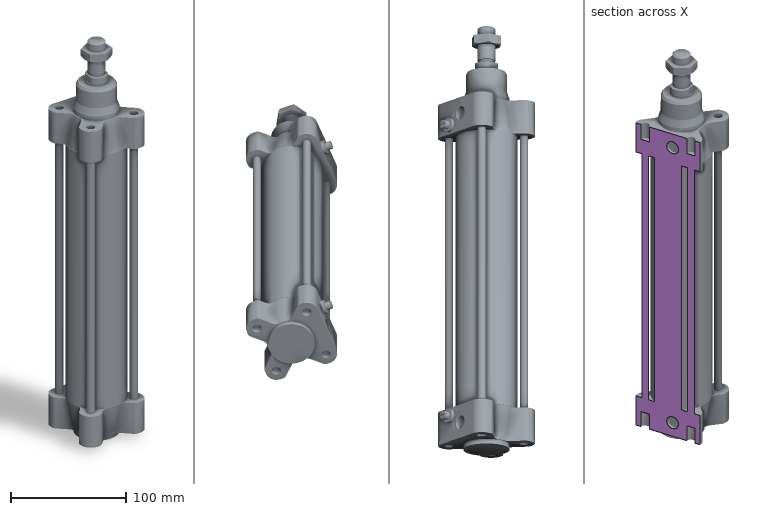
import cadquery as cq
import math


total_height = 379.0
boss_height = 4.0
cap_height = 30.0
head_inner_z = 280.5
base_inner_z = boss_height + cap_height
head_outer_z = head_inner_z + cap_height

cap_width = 65.0
half_width = cap_width / 2
tie_rod_offset = 23.0
corner_radius = half_width - tie_rod_offset
lobe_edge_radius = 4.5
notch_root_radius = 6.0
notch_apex = 14.0
hub_outer_radius = 21.2
hub_inner_radius = 26.5
mount_hole_diameter = 8.0
mount_hole_depth = 15.0

barrel_diameter = 54.0
tie_rod_diameter = 7.2
boss_diameter = 40.0

port_y = -4.5
port_height = 16.0
port_diameter = 11.5
port_mouth_diameter = 12.0
port_mouth_chamfer = (port_mouth_diameter - port_diameter) / 2
port_depth = 11.5
port_seat_diameter = 19.5
port_seat_depth = 0.5
screw_y = 9.5
screw_height = 7.5
screw_flange_diameter = 12.0
screw_flange_length = 3.0
screw_diameter = 7.2
screw_reach = 8.5
screw_slot_width = 0.8
screw_slot_depth = 1.0

collar_flange_top_z = 314.5
collar_cone_top_z = 321.5
collar_top_z = 339.0
collar_diameter = 35.5
collar_chamfer_height = 2.3
collar_chamfer_width = 1.5

rod_diameter = 20.0
flats_width = 18.0
flats_bottom_z = 340.5
rod_shoulder_z = 346.5
undercut_diameter = 14.5
thread_bottom_z = 349.5
thread_diameter = 16.0
thread_chamfer = 1.5

nut_width = 24.0
nut_bottom_z = 362.7
nut_height = 8.0
nut_chamfer_height = 1.0
nut_corner_diameter = nut_width / math.cos(math.radians(30))

tie_rod_points = [(x, y) for x in (-tie_rod_offset, tie_rod_offset) for y in (-tie_rod_offset, tie_rod_offset)]


def cylinder(diameter, bottom_z, top_z):
    """Solid cylinder on the Z axis."""
    return cq.Workplane("XY", origin=(0, 0, bottom_z)).circle(diameter / 2).extrude(top_z - bottom_z)


def revolve_profile(points):
    """Solid of revolution about Z from (radius, z) points."""
    return cq.Workplane("XZ").polyline(points).close().revolve(360, (0, 0, 0), (0, 1, 0))


def side_cylinder(diameter, y, z, start_x, length):
    """Cylinder along X that starts at start_x and runs toward +X."""
    return cq.Workplane("YZ", origin=(start_x, y, z)).circle(diameter / 2).extrude(length)


def make_notch(angle):
    """90-degree V notch that opens outward in the direction given by angle."""
    reach = cap_width
    profile = [(notch_apex, 0), (reach, reach - notch_apex), (reach, notch_apex - reach)]
    notch = cq.Workplane("XY").polyline(profile).close().extrude(cap_height)
    return notch.rotate((0, 0, 0), (0, 0, 1), angle)


def make_cap_block():
    """Cap body with four rounded lobes; inner face at z = 0, outer face at z = cap_height."""
    block = cq.Workplane("XY").rect(cap_width, cap_width).extrude(cap_height)
    block = block.edges("|Z").fillet(corner_radius)
    for angle in (-90, 0, 90):
        block = block.cut(make_notch(angle))

    notch_half_mouth = half_width - notch_apex
    mouth_radius = math.hypot(half_width, notch_half_mouth)

    def is_lobe_edge(edge):
        middle = edge.positionAt(0.5)
        return math.isclose(math.hypot(middle.x, middle.y), mouth_radius)

    return block.edges("|Z").filter(is_lobe_edge).fillet(lobe_edge_radius)


def add_hub(block):
    """Add the conical hub whose surface forms the notch floors, and round the notch roots."""
    hub = revolve_profile([(0, 0), (hub_inner_radius, 0), (hub_outer_radius, cap_height), (0, cap_height)])

    def is_notch_root(edge):
        middle = edge.positionAt(0.5)
        spans_height = edge.BoundingBox().zlen > cap_height / 2
        return spans_height and math.hypot(middle.x, middle.y) < hub_inner_radius

    return block.union(hub).edges().filter(is_notch_root).fillet(notch_root_radius)


def add_port(cap):
    """Cut the air port and its shallow round seat."""
    seat_x = -half_width + port_seat_depth
    port = side_cylinder(port_diameter, port_y, port_height, seat_x, port_depth)
    mouth = (
        cq.Workplane("YZ", origin=(seat_x, port_y, port_height))
        .circle(port_mouth_diameter / 2)
        .workplane(offset=port_mouth_chamfer)
        .circle(port_diameter / 2)
        .loft()
    )
    seat = side_cylinder(port_seat_diameter, port_y, port_height, -half_width, port_seat_depth)
    return cap.cut(port).cut(mouth).cut(seat)


def add_cushion_screw(cap):
    """Add the slotted cushion screw and its flange."""
    tip_x = -half_width - screw_reach
    flange_start_x = -half_width - screw_flange_length
    flange = side_cylinder(screw_flange_diameter, screw_y, screw_height, flange_start_x, screw_flange_length)
    shank = side_cylinder(screw_diameter, screw_y, screw_height, tip_x, screw_reach)
    slot = (
        cq.Workplane("XY", origin=(tip_x, screw_y, screw_height))
        .box(2 * screw_slot_depth, 2 * screw_diameter, screw_slot_width)
    )
    return cap.union(flange).union(shank.cut(slot))


def make_cap():
    """Complete end cap; inner face at z = 0, outer face at z = cap_height."""
    cap = add_hub(make_cap_block())
    mount_holes = (
        cq.Workplane("XY", origin=(0, 0, cap_height))
        .pushPoints(tie_rod_points)
        .circle(mount_hole_diameter / 2)
        .extrude(-mount_hole_depth)
    )
    return add_cushion_screw(add_port(cap.cut(mount_holes)))


def make_collar():
    """Stepped collar on the head cap, bored later for the piston rod."""
    collar_radius = collar_diameter / 2
    return revolve_profile([
        (0, head_outer_z),
        (boss_diameter / 2, head_outer_z),
        (boss_diameter / 2, collar_flange_top_z),
        (collar_radius, collar_cone_top_z),
        (collar_radius, collar_top_z - collar_chamfer_height),
        (collar_radius - collar_chamfer_width, collar_top_z),
        (0, collar_top_z),
    ])


def make_housing():
    """Both end caps, barrel, tie rods, collar and base boss, with the bore for the piston rod."""
    cap = make_cap()
    head = cap.translate((0, 0, head_inner_z))
    base = cap.mirror("XY").translate((0, 0, base_inner_z))
    barrel = cylinder(barrel_diameter, base_inner_z, head_inner_z)
    tie_rods = (
        cq.Workplane("XY", origin=(0, 0, base_inner_z))
        .pushPoints(tie_rod_points)
        .circle(tie_rod_diameter / 2)
        .extrude(head_inner_z - base_inner_z)
    )
    base_boss = cylinder(boss_diameter, 0, boss_height)
    body = head.union(base).union(barrel).union(tie_rods).union(base_boss).union(make_collar())
    return body.cut(cylinder(rod_diameter, head_inner_z, collar_top_z))


def make_piston_rod():
    """Piston rod with wrench flats, an undercut and a chamfered thread end."""
    rod = cylinder(rod_diameter, head_inner_z, rod_shoulder_z)
    beside_flats = (
        cq.Workplane("XY", origin=(0, 0, flats_bottom_z))
        .rect(2 * rod_diameter, 2 * rod_diameter)
        .rect(2 * rod_diameter, flats_width)
        .extrude(rod_shoulder_z - flats_bottom_z)
    )
    undercut = cylinder(undercut_diameter, rod_shoulder_z, thread_bottom_z)
    thread = cylinder(thread_diameter, thread_bottom_z, total_height).faces(">Z").chamfer(thread_chamfer)
    return rod.cut(beside_flats).union(undercut).union(thread)


def make_lock_nut():
    """Hexagonal nut with two corners along X and its lower corners chamfered."""
    nut_top_z = nut_bottom_z + nut_height
    hexagon = cq.Workplane("XY", origin=(0, 0, nut_bottom_z)).polygon(6, nut_corner_diameter).extrude(nut_height)
    corner_limit = revolve_profile([
        (0, nut_bottom_z),
        (nut_width / 2, nut_bottom_z),
        (nut_corner_diameter / 2, nut_bottom_z + nut_chamfer_height),
        (nut_corner_diameter / 2, nut_top_z),
        (0, nut_top_z),
    ])
    return hexagon.intersect(corner_limit).cut(cylinder(thread_diameter, nut_bottom_z, nut_top_z))


housing = make_housing()
piston_rod = make_piston_rod()
lock_nut = make_lock_nut()
result = cq.Compound.makeCompound([housing.val(), piston_rod.val(), lock_nut.val()])